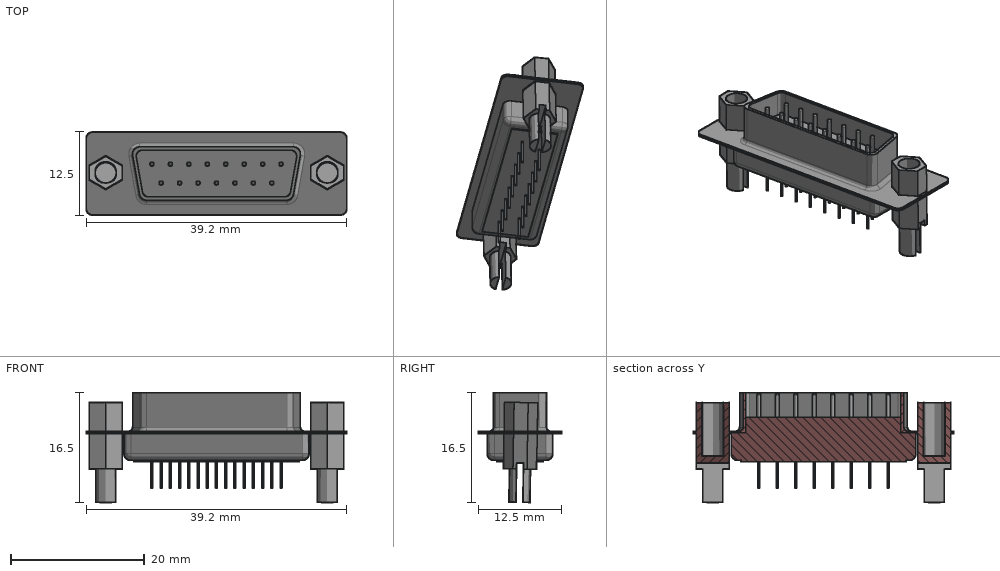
import cadquery as cq
import math


FLANGE_LENGTH = 39.2
FLANGE_WIDTH = 12.5
FLANGE_CORNER_RADIUS = 1.0
FRONT_SHEET = 0.25
REAR_SHEET = 0.15

COLLAR_TOP = 6.05
COLLAR_HALF_WIDTH = 4.0
COLLAR_MID_HALF_LENGTH = 12.115
COLLAR_SIDE_ANGLE = math.radians(10)
COLLAR_CORNER_RADIUS = 1.05
COLLAR_WALL = 0.5
COLLAR_INNER_CORNER_RADIUS = 0.9
COLLAR_FOOT_RADIUS = 0.6

INSERT_TOP = 2.35
BLOCK_LENGTH = 27.85
BLOCK_WIDTH = 9.9
BLOCK_CORNER_RADIUS = 1.05
BLOCK_BOTTOM = -4.15
BLOCK_BOTTOM_RADIUS = 1.05
PAD_LENGTH = 24.8
PAD_WIDTH = 7.05
PAD_HEIGHT = 0.2
PAD_BOTTOM = BLOCK_BOTTOM - PAD_HEIGHT

CONTACT_PITCH = 2.77
ROW_SPACING = 2.84
UPPER_ROW_COUNT = 8
LOWER_ROW_COUNT = 7
PIN_DIAMETER = 0.6
PIN_TOP = 5.85
PIN_TIP_RADIUS = 0.2
TAIL_DIAMETER = 0.3
TAIL_BOTTOM = -8.3
TAIL_TIP_CHAMFER = 0.08

STANDOFF_SPACING = 33.3
STANDOFF_TILT = 1.0
HEX_SIZE = 5.0
HEX_POINT_SLOPE = math.radians(30)
HEX_HEIGHT = 10.0
HEX_BOTTOM = -5.44
BORE_DIAMETER = 3.2
BORE_DEPTH = 8.0
LEG_DIAMETER = 3.2
LEG_LENGTH = 5.0
SLOT_WIDTH = 1.0
SLOT_DEPTH_IN_HEX = 0.9


def level(z):
    return cq.Workplane("XY").workplane(offset=z)


def flange_sheet(bottom, thickness):
    sheet = level(bottom).rect(FLANGE_LENGTH, FLANGE_WIDTH).extrude(thickness)
    return sheet.edges("|Z").fillet(FLANGE_CORNER_RADIUS)


def d_prism(inset, corner_radius, height):
    """Prism standing on Z = 0 with the D outline of the collar, moved inwards by `inset`."""
    half_width = COLLAR_HALF_WIDTH - inset
    mid_half_length = COLLAR_MID_HALF_LENGTH - inset / math.cos(COLLAR_SIDE_ANGLE)
    side_run = half_width * math.tan(COLLAR_SIDE_ANGLE)
    long_half = mid_half_length + side_run
    short_half = mid_half_length - side_run
    outline = [
        (-long_half, half_width),
        (long_half, half_width),
        (short_half, -half_width),
        (-short_half, -half_width),
    ]
    prism = level(0).polyline(outline).close().extrude(height)
    return prism.edges("|Z").fillet(corner_radius)


def collar_cavity(height):
    return d_prism(COLLAR_WALL, COLLAR_INNER_CORNER_RADIUS, height)


def make_front_shell():
    collar = d_prism(0, COLLAR_CORNER_RADIUS, COLLAR_TOP)
    shell = flange_sheet(0, FRONT_SHEET).union(collar)
    flange_top = shell.faces("|Z").faces(cq.selectors.NearestToPointSelector((0, 0, FRONT_SHEET)))
    foot_edges = flange_top.val().innerWires()[0].Edges()
    shell = shell.newObject(foot_edges).fillet(COLLAR_FOOT_RADIUS)
    return shell.cut(collar_cavity(COLLAR_TOP))


def contact_places():
    rows = ((UPPER_ROW_COUNT, ROW_SPACING / 2), (LOWER_ROW_COUNT, -ROW_SPACING / 2))
    return [((i - (count - 1) / 2) * CONTACT_PITCH, y) for count, y in rows for i in range(count)]


def contact_pins():
    pins = level(INSERT_TOP).pushPoints(contact_places()).circle(PIN_DIAMETER / 2)
    pins = pins.extrude(PIN_TOP - INSERT_TOP)
    return pins.faces(">Z").edges().fillet(PIN_TIP_RADIUS)


def solder_tails():
    tails = level(PAD_BOTTOM).pushPoints(contact_places()).circle(TAIL_DIAMETER / 2)
    tails = tails.extrude(TAIL_BOTTOM - PAD_BOTTOM)
    return tails.faces("<Z").edges().chamfer(TAIL_TIP_CHAMFER)


def make_rear_body():
    block = level(0).rect(BLOCK_LENGTH, BLOCK_WIDTH).extrude(BLOCK_BOTTOM)
    block = block.edges("|Z").fillet(BLOCK_CORNER_RADIUS)
    block = block.faces("<Z").edges().fillet(BLOCK_BOTTOM_RADIUS)
    pad = level(PAD_BOTTOM).rect(PAD_LENGTH, PAD_WIDTH).extrude(PAD_HEIGHT)
    body = block.union(flange_sheet(-REAR_SHEET, REAR_SHEET))
    body = body.union(collar_cavity(INSERT_TOP)).union(pad)
    return body.union(contact_pins()).union(solder_tails())


def hex_prism():
    """Upright hexagon on Z = 0 with points along Y, as wide over its X flats as over its points."""
    half = HEX_SIZE / 2
    shoulder = half - half * math.tan(HEX_POINT_SLOPE)
    outline = [
        (0, half),
        (half, shoulder),
        (half, -shoulder),
        (0, -half),
        (-half, -shoulder),
        (-half, shoulder),
    ]
    return level(0).polyline(outline).close().extrude(HEX_HEIGHT)


def upright_standoff():
    bore = level(HEX_HEIGHT - BORE_DEPTH).circle(BORE_DIAMETER / 2).extrude(BORE_DEPTH)
    leg = level(-LEG_LENGTH).circle(LEG_DIAMETER / 2).extrude(LEG_LENGTH)
    slot = level(-LEG_LENGTH).rect(2 * HEX_SIZE, SLOT_WIDTH).extrude(LEG_LENGTH + SLOT_DEPTH_IN_HEX)
    return hex_prism().cut(bore).union(leg).cut(slot)


def tilt_into_place(body, x):
    """Tilt about the centre of the hexagon's base, then move that centre to its place."""
    return body.rotate((0, 0, 0), (1, 0, 0), -STANDOFF_TILT).translate((x, 0, HEX_BOTTOM))


front_shell = make_front_shell()
rear_body = make_rear_body()
standoffs = []
for standoff_x in (-STANDOFF_SPACING / 2, STANDOFF_SPACING / 2):
    standoffs.append(tilt_into_place(upright_standoff(), standoff_x))
    hex_hole = tilt_into_place(hex_prism(), standoff_x)
    front_shell = front_shell.cut(hex_hole)
    rear_body = rear_body.cut(hex_hole)

result = cq.Compound.makeCompound(
    [front_shell.val(), rear_body.val(), *[standoff.val() for standoff in standoffs]]
)